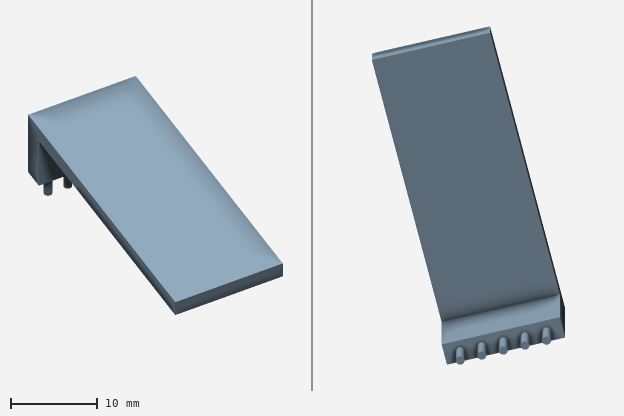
import cadquery as cq

plate_length = 36.0
width = 14.0
plate_thickness = 2.0

header_depth = 2.6
header_height = 7.0

pin_diameter = 1.0
pin_length = 3.0
pin_pitch = 2.55
pin_count = 5

header_bottom = pin_length
plate_bottom = header_bottom + header_height


def corner_box(length, height, bottom):
    """Full-width box starting at X = 0, centred across Y."""
    box = cq.Workplane("XY").box(length, width, height, centered=(False, True, False))
    return box.translate((0, 0, bottom))


def pin_row():
    """Evenly spaced pins along Y, centred under the header."""
    return (
        cq.Workplane("XY")
        .center(header_depth / 2, 0)
        .rarray(0.35, pin_pitch, 1, pin_count)
        .circle(pin_diameter / 2)
        .extrude(pin_length)
    )


plate = corner_box(plate_length, plate_thickness, plate_bottom)
header = corner_box(header_depth, header_height, header_bottom)
result = plate.union(header).union(pin_row())